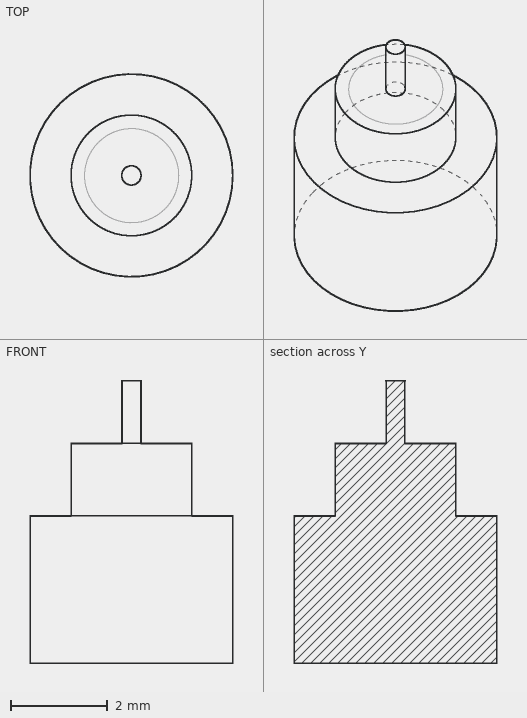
import cadquery as cq

body_diameter = 4.2
body_height = 3.05
collar_diameter = 2.5
collar_height = 1.5
insulator_diameter = 1.95
pin_diameter = 0.4
pin_length = 1.3

body_base = 0
collar_base = body_base + body_height
pin_base = collar_base + collar_height


def cylinder(diameter, base, height):
    """Upright cylinder centred on the Z axis, standing at the level `base`."""
    return cq.Workplane("XY").workplane(offset=base).circle(diameter / 2).extrude(height)


def make_collar():
    """Outer sleeve filled flush with the insulator that surrounds the pin."""
    insulator = cylinder(insulator_diameter, collar_base, collar_height)
    sleeve = cylinder(collar_diameter, collar_base, collar_height).cut(insulator)
    return sleeve.union(insulator, clean=False)


body = cylinder(body_diameter, body_base, body_height)
pin = cylinder(pin_diameter, pin_base, pin_length)

result = body.union(make_collar(), clean=False).union(pin, clean=False)